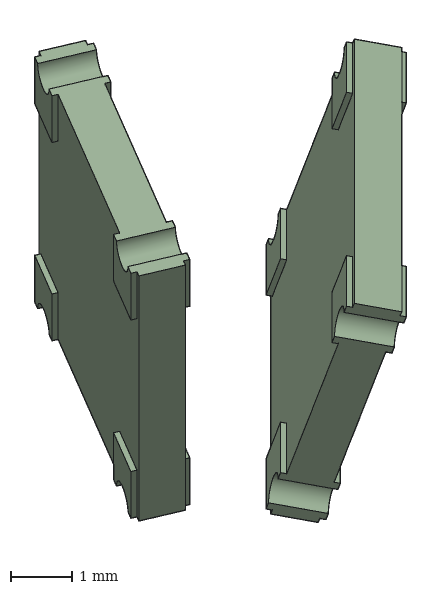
import cadquery as cq

body_width = 5.3
body_height = 5.8
total_depth = 1.01
pad_thickness = 0.105
body_depth = total_depth - 2 * pad_thickness

pad_width = 0.915
pad_height = 1.11
pad_side_inset = 0.1

notch_radius = 0.3

pad_center_x = body_width / 2 - pad_side_inset - pad_width / 2
pad_center_z = body_height / 2 - pad_height / 2


def corner_pads(x_side, z_side):
    """Block through the body that forms the front and back pads of one corner."""
    center = (x_side * pad_center_x, 0, z_side * pad_center_z)
    return cq.Workplane("XY").box(pad_width, total_depth, pad_height).translate(center)


def edge_notch(x_side, z_side):
    """Cylinder along Y that cuts the half-round notch of one corner."""
    return (
        cq.Workplane("XZ", origin=(0, total_depth / 2, 0))
        .center(x_side * pad_center_x, z_side * body_height / 2)
        .circle(notch_radius)
        .extrude(total_depth)
    )


corners = [(x_side, z_side) for x_side in (-1, 1) for z_side in (-1, 1)]

result = cq.Workplane("XY").box(body_width, body_depth, body_height)
for x_side, z_side in corners:
    result = result.union(corner_pads(x_side, z_side))
for x_side, z_side in corners:
    result = result.cut(edge_notch(x_side, z_side))